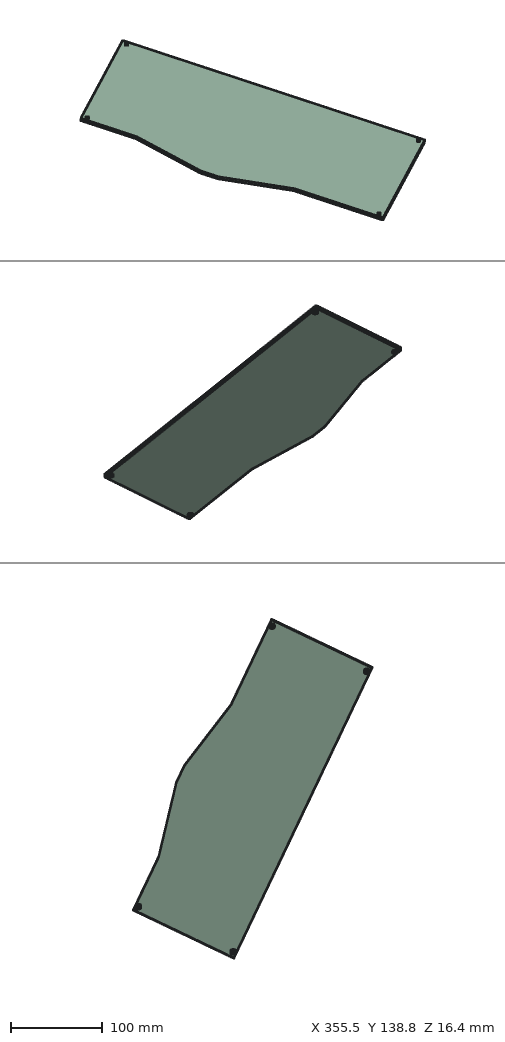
import cadquery as cq

width = 355.5
depth = 121.5
thickness = 4.3
tilt_angle = 5.0

nose_centre_x = -19.5
nose_base_width = 185.5
nose_tip_width = 20.5
nose_length = 17.5

hole_side_inset = 6.0
hole_edge_inset = 3.5
hole_diameter = 3.5
head_diameter = 6.0
countersink_angle = 90.0


def make_plate():
    """Rectangle with the nose added to its front edge."""
    return (
        cq.Workplane("XY")
        .moveTo(-width / 2, depth)
        .lineTo(-width / 2, 0)
        .lineTo(nose_centre_x - nose_base_width / 2, 0)
        .lineTo(nose_centre_x - nose_tip_width / 2, -nose_length)
        .lineTo(nose_centre_x + nose_tip_width / 2, -nose_length)
        .lineTo(nose_centre_x + nose_base_width / 2, 0)
        .lineTo(width / 2, 0)
        .lineTo(width / 2, depth)
        .close()
        .extrude(thickness)
    )


def drill_corner_holes(plate):
    """Four through holes with their countersinks on the underside."""
    hole_x = width / 2 - hole_side_inset
    hole_rows = (-hole_edge_inset, hole_edge_inset - depth)
    hole_points = [(x, y) for x in (-hole_x, hole_x) for y in hole_rows]
    return (
        plate.faces("<Z")
        .workplane(origin=(0, 0, 0))
        .pushPoints(hole_points)
        .cskHole(hole_diameter, head_diameter, countersink_angle)
    )


plate = drill_corner_holes(make_plate())

result = plate.rotate((0, 0, 0), (1, 0, 0), -tilt_angle)